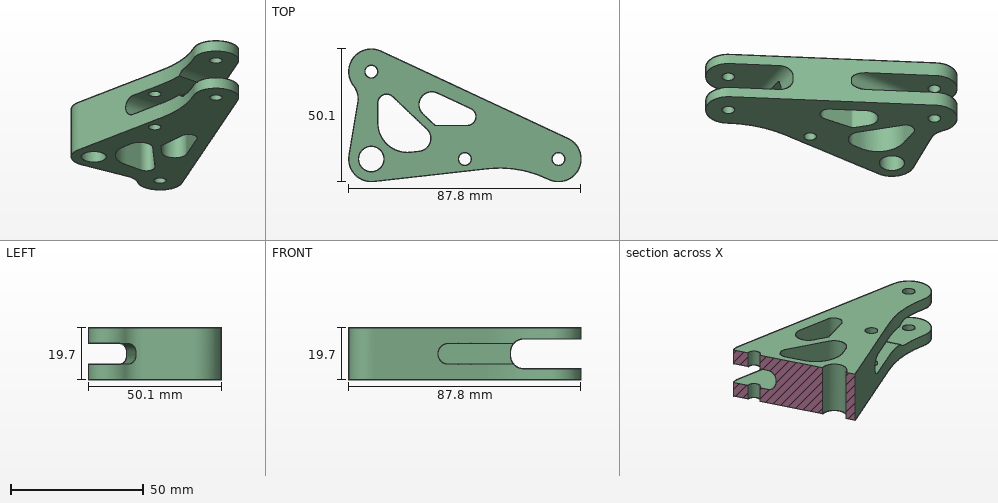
import cadquery as cq
import math

THICKNESS = 19.74
LUG_RADIUS = 8.5725
ARM_X = 70.635
ARM_Y = 32.985
PIVOT_DIAMETER = 9.525
PIN_DIAMETER = 4.75

PIVOT = (0, 0)
LONG_PIN = (ARM_X, 0)
MIDDLE_PIN = (ARM_X / 2, 0)
SHORT_PIN = (0, ARM_Y)

LONG_FLANK_ANGLE = 6.4
LONG_BLEND_RADIUS = 41.275
SHORT_FLANK_ANGLE = 9.5
SHORT_BLEND_RADIUS = 7.9375

SMALL_ROUND = 3.3
MEDIUM_ROUND = 4.84
LARGE_ROUND = 11.1125
WEB_ROUND = 1.0
WEB_ANGLE = -43.6
WEB_WIDTH = 3.175
WEB_START = (15.3, 16.65)
PIVOT_WINDOW_LEFT = 2.5
PIVOT_WINDOW_BOTTOM = (14.0, 2.5)
OUTER_WINDOW_BOTTOM = 12.7
RIM_WIDTH = 5.36

LINK_SLOT_ROUND = 3.175
LONG_FORK_ROUND = 4.7625
LINK_SLOT_HEIGHT = 7.83
LONG_FORK_HEIGHT = 11.1
LONG_FORK_X = 52.6
MIDDLE_SLOT_X = 25.16
MIDDLE_SLOT_BACK_Y = LUG_RADIUS
SHORT_FORK_START = (-5.5, 23.6)
SHORT_FORK_ANGLE = 5.4
CUT_LENGTH = 2 * (ARM_X + ARM_Y)


def polar(center, radius, angle):
    """Point at a distance and direction (degrees) from a center."""
    turn = math.radians(angle)
    return (center[0] + radius * math.cos(turn), center[1] + radius * math.sin(turn))


def direction(start, end):
    """Direction in degrees from one point to another."""
    return math.degrees(math.atan2(end[1] - start[1], end[0] - start[0]))


def blend_center(pin, flank_angle, normal_angle, radius):
    """Center of the hollow arc tangent to a pivot-end flank and to the arm end at `pin`."""
    reach = LUG_RADIUS + radius
    pin_distance = math.hypot(*pin)
    pin_turn = math.radians(direction(PIVOT, pin) - flank_angle)
    along = pin_distance * math.cos(pin_turn)
    pin_offset = pin_distance * abs(math.sin(pin_turn))
    back = math.sqrt(reach**2 - (reach - pin_offset) ** 2)
    return polar(polar(PIVOT, reach, normal_angle), along - back, flank_angle)


def arc(path, center, radius, start, end):
    """Continue a path along a circle from one direction (degrees) to another."""
    middle = polar(center, radius, (start + end) / 2)
    return path.threePointArc(middle, polar(center, radius, end))


def outline():
    """Closed outer profile, followed counterclockwise from the lower flank."""
    lower_normal = LONG_FLANK_ANGLE - 90
    left_direction = 90 - SHORT_FLANK_ANGLE
    left_normal = left_direction + 90
    edge_normal = direction(LONG_PIN, SHORT_PIN) - 90

    long_center = blend_center(LONG_PIN, LONG_FLANK_ANGLE, lower_normal, LONG_BLEND_RADIUS)
    short_center = blend_center(SHORT_PIN, left_direction, left_normal, SHORT_BLEND_RADIUS)
    long_contact = direction(LONG_PIN, long_center)
    short_contact = direction(SHORT_PIN, short_center) % 360

    path = cq.Workplane("XY", origin=(0, 0, -THICKNESS / 2))
    path = path.moveTo(*polar(PIVOT, LUG_RADIUS, lower_normal))
    path = path.lineTo(*polar(long_center, LONG_BLEND_RADIUS, lower_normal + 180))
    path = arc(path, long_center, LONG_BLEND_RADIUS, lower_normal + 180, long_contact + 180)
    path = arc(path, LONG_PIN, LUG_RADIUS, long_contact, edge_normal)
    path = path.lineTo(*polar(SHORT_PIN, LUG_RADIUS, edge_normal))
    path = arc(path, SHORT_PIN, LUG_RADIUS, edge_normal, short_contact)
    path = arc(path, short_center, SHORT_BLEND_RADIUS, short_contact - 180, left_normal - 180)
    path = path.lineTo(*polar(PIVOT, LUG_RADIUS, left_normal))
    path = arc(path, PIVOT, LUG_RADIUS, left_normal, lower_normal + 360)
    return path.close()


def crossing(first, second):
    """Where two lines, each given as (point, angle), cross."""
    (x1, y1), angle1 = first
    (x2, y2), angle2 = second
    a1 = math.radians(angle1)
    a2 = math.radians(angle2)
    reach = ((x2 - x1) * math.sin(a2) - (y2 - y1) * math.cos(a2)) / math.sin(a2 - a1)
    return polar((x1, y1), reach, angle1)


def window(lines, rounds):
    """Triangular opening; rounds[i] is the corner where lines[i] meets the next line."""
    corners = []
    for index, line in enumerate(lines):
        corners.append(crossing(line, lines[(index + 1) % len(lines)]))
    prism = cq.Workplane("XY", origin=(0, 0, -THICKNESS)).polyline(corners).close()
    prism = prism.extrude(2 * THICKNESS)
    for (x, y), radius in zip(corners, rounds):
        prism = prism.edges(cq.NearestToPointSelector((x, y, 0))).fillet(radius)
    return prism


def windows():
    """The two lightening openings on either side of the diagonal web."""
    edge_angle = direction(SHORT_PIN, LONG_PIN)
    pivot_window = window(
        [
            ((PIVOT_WINDOW_LEFT, 0), 90),
            (PIVOT_WINDOW_BOTTOM, LONG_FLANK_ANGLE),
            (WEB_START, WEB_ANGLE),
        ],
        [LARGE_ROUND, MEDIUM_ROUND, SMALL_ROUND],
    )
    outer_window = window(
        [
            (polar(WEB_START, WEB_WIDTH, WEB_ANGLE + 90), WEB_ANGLE),
            ((0, OUTER_WINDOW_BOTTOM), 0),
            (polar(SHORT_PIN, LUG_RADIUS - RIM_WIDTH, edge_angle + 90), edge_angle),
        ],
        [WEB_ROUND, SMALL_ROUND, MEDIUM_ROUND],
    )
    return pivot_window.union(outer_window)


def pins():
    """Vertical holes: the main pivot and the three smaller pins."""
    pivot = cq.Workplane("XY").circle(PIVOT_DIAMETER / 2).extrude(THICKNESS, both=True)
    pin_points = [LONG_PIN, MIDDLE_PIN, SHORT_PIN]
    small = cq.Workplane("XY").pushPoints(pin_points).circle(PIN_DIAMETER / 2)
    return pivot.union(small.extrude(THICKNESS, both=True))


def long_fork():
    """Slot that splits the long arm end into two ears."""
    block = cq.Workplane("XY").box(CUT_LENGTH, CUT_LENGTH, LONG_FORK_HEIGHT, centered=(False, True, True))
    block = block.edges("|Y and <X").fillet(LONG_FORK_ROUND)
    return block.translate((LONG_FORK_X, 0, 0))


def middle_slot():
    """Round-ended pocket in the lower flank that runs into the long-arm fork."""
    end_radius = LINK_SLOT_HEIGHT / 2
    run_length = LONG_FORK_X + LONG_FORK_ROUND - MIDDLE_SLOT_X - end_radius
    depth = MIDDLE_SLOT_BACK_Y + 2 * LUG_RADIUS
    back_plane = cq.Workplane("XZ", origin=(MIDDLE_SLOT_X + end_radius, MIDDLE_SLOT_BACK_Y, 0))
    round_end = back_plane.circle(end_radius).extrude(depth)
    run = back_plane.center(run_length / 2, 0).rect(run_length, LINK_SLOT_HEIGHT).extrude(depth)
    return round_end.union(run)


def short_fork():
    """Slot that splits the short arm end; its floor rises slightly along +X."""
    block = cq.Workplane("XY").box(CUT_LENGTH, CUT_LENGTH, LINK_SLOT_HEIGHT, centered=(True, False, True))
    block = block.edges("|X and <Y").fillet(LINK_SLOT_ROUND)
    block = block.rotate((0, 0, 0), (0, 0, 1), SHORT_FORK_ANGLE)
    return block.translate((*SHORT_FORK_START, 0))


result = outline().extrude(THICKNESS)
for cutter in (windows(), pins(), long_fork(), middle_slot(), short_fork()):
    result = result.cut(cutter)